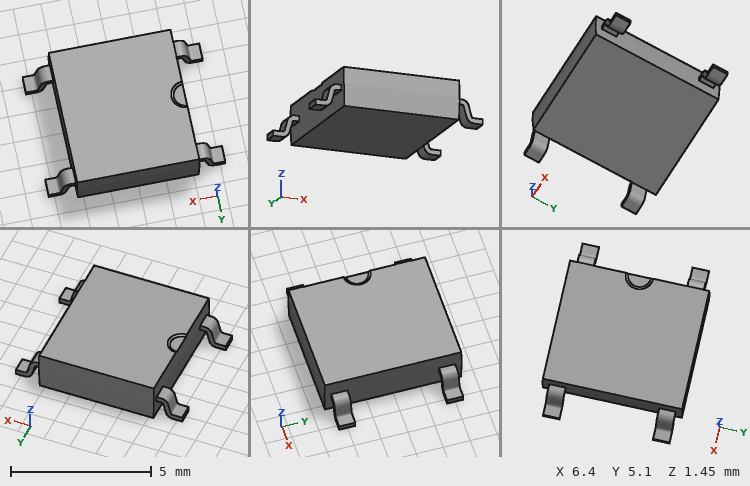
import cadquery as cq
import math

body_length_x = 4.43
body_length_y = 5.1
body_height = 1.45
parting_height = 0.845
lower_draft_inset = 0.025
upper_draft_inset_x = 0.005
upper_draft_inset_y = 0.02

mark_radius = 0.5
mark_floor_radius = 0.41
mark_depth = 0.05

lead_span = 6.4
lead_width = 0.6
lead_thickness = 0.2
lead_pitch = 4.0
lead_embed = 0.13
foot_straight = 0.345
bend_angle = math.radians(75)
inner_bend_radius = 0.095
outer_bend_radius = inner_bend_radius + lead_thickness


def make_body_half(end_height, inset_x, inset_y):
    """Taper from the parting plane to a smaller rectangle at end_height."""
    return (
        cq.Workplane("XY", origin=(0, 0, parting_height))
        .rect(body_length_x, body_length_y)
        .workplane(offset=end_height - parting_height)
        .rect(body_length_x - 2 * inset_x, body_length_y - 2 * inset_y)
        .loft(ruled=True)
    )


def make_index_mark():
    """Shallow cone, narrowing downward; only the half over the body cuts it."""
    return (
        cq.Workplane("XY", origin=(-body_length_x / 2, 0, body_height))
        .circle(mark_radius)
        .workplane(offset=-mark_depth)
        .circle(mark_floor_radius)
        .loft()
    )


def make_left_lead(center_y):
    """Strip bent up from the foot and back to horizontal below the parting plane."""
    shoulder_underside = parting_height - lead_thickness
    half_bend_tangent = math.tan(bend_angle / 2)
    mean_bend_radius = (inner_bend_radius + outer_bend_radius) / 2
    miter_shift = lead_thickness / 2 * half_bend_tangent

    foot_end_x = -lead_span / 2
    foot_corner_x = foot_end_x + foot_straight + mean_bend_radius * half_bend_tangent
    shoulder_corner_x = foot_corner_x + shoulder_underside / math.tan(bend_angle)
    embedded_end_x = -body_length_x / 2 + lead_embed

    foot_outer_corner = (foot_corner_x + miter_shift, 0)
    foot_inner_corner = (foot_corner_x - miter_shift, lead_thickness)
    shoulder_outer_corner = (shoulder_corner_x - miter_shift, parting_height)
    shoulder_inner_corner = (shoulder_corner_x + miter_shift, shoulder_underside)

    lead = (
        cq.Workplane("XZ", origin=(0, center_y + lead_width / 2, 0))
        .moveTo(foot_end_x, 0)
        .lineTo(*foot_outer_corner)
        .lineTo(*shoulder_inner_corner)
        .lineTo(embedded_end_x, shoulder_underside)
        .lineTo(embedded_end_x, parting_height)
        .lineTo(*shoulder_outer_corner)
        .lineTo(*foot_inner_corner)
        .lineTo(foot_end_x, lead_thickness)
        .close()
        .extrude(lead_width)
    )
    bends = (
        (foot_outer_corner, outer_bend_radius),
        (shoulder_outer_corner, outer_bend_radius),
        (foot_inner_corner, inner_bend_radius),
        (shoulder_inner_corner, inner_bend_radius),
    )
    for (corner_x, corner_z), radius in bends:
        corner = (corner_x, center_y, corner_z)
        lead = lead.edges("|Y").edges(cq.NearestToPointSelector(corner)).fillet(radius)
    return lead


lower_half = make_body_half(0, lower_draft_inset, lower_draft_inset)
upper_half = make_body_half(body_height, upper_draft_inset_x, upper_draft_inset_y)
result = lower_half.union(upper_half).cut(make_index_mark())

for lead_y in (-lead_pitch / 2, lead_pitch / 2):
    left_lead = make_left_lead(lead_y)
    right_lead = left_lead.mirror("YZ")
    result = result.union(left_lead).union(right_lead)